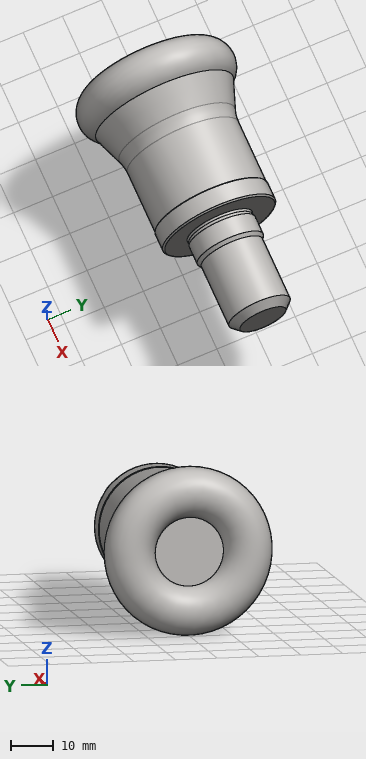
import cadquery as cq
import math

overall_length = 68.0

rim_diameter = 40.0
rim_tube_radius = 6.0
dish_floor_radius = 8.15
cone_start_x = 10.75
sleeve_start_x = 21.55
sleeve_diameter = 28.6
sleeve_end_x = 37.95
cone_angle = math.radians(20)
blend_radius = 10.2

flange_diameter = 29.0
flange_end_x = 42.9
flange_rear_chamfer = 0.4
undercut_start_radius = 8.35
undercut_radius = 8.2
undercut_bottom_x = 43.5
collar_diameter = 17.0
collar_start_x = 44.35
collar_end_x = 49.0
pin_start_x = 50.0
pin_diameter = 15.8
pin_tip_chamfer = 2.0

sleeve_radius = sleeve_diameter / 2
flange_radius = flange_diameter / 2
collar_radius = collar_diameter / 2
pin_radius = pin_diameter / 2


def turn(profile):
    """Revolve a closed half profile (X along the axis, Y outward) about the X axis."""
    return profile.close().revolve(360, (0, 0, 0), (1, 0, 0))


def make_knob():
    rim_center_radius = rim_diameter / 2 - rim_tube_radius
    floor_offset = rim_center_radius - dish_floor_radius
    dish_depth = rim_tube_radius - math.sqrt(rim_tube_radius**2 - floor_offset**2)

    blend_start_x = sleeve_start_x - blend_radius * math.sin(cone_angle)
    blend_start_radius = sleeve_radius + blend_radius * (1 - math.cos(cone_angle))
    blend_mid_x = sleeve_start_x - blend_radius * math.sin(cone_angle / 2)
    blend_mid_radius = sleeve_radius + blend_radius * (1 - math.cos(cone_angle / 2))

    cone_offset = cone_start_x - rim_tube_radius
    cone_start_radius = rim_center_radius + math.sqrt(rim_tube_radius**2 - cone_offset**2)

    profile = (
        cq.Workplane("XY")
        .moveTo(dish_depth, 0)
        .lineTo(dish_depth, dish_floor_radius)
        .threePointArc((rim_tube_radius, rim_diameter / 2), (cone_start_x, cone_start_radius))
        .lineTo(blend_start_x, blend_start_radius)
        .threePointArc((blend_mid_x, blend_mid_radius), (sleeve_start_x, sleeve_radius))
        .lineTo(sleeve_end_x, sleeve_radius)
        .lineTo(sleeve_end_x, 0)
    )
    return turn(profile)


def make_plunger():
    front_bevel = flange_radius - sleeve_radius
    profile = (
        cq.Workplane("XY")
        .moveTo(sleeve_end_x, 0)
        .lineTo(sleeve_end_x, sleeve_radius)
        .lineTo(sleeve_end_x + front_bevel, flange_radius)
        .lineTo(flange_end_x - flange_rear_chamfer, flange_radius)
        .lineTo(flange_end_x, flange_radius - flange_rear_chamfer)
        .lineTo(flange_end_x, undercut_start_radius)
        .lineTo(undercut_bottom_x, undercut_radius)
        .lineTo(collar_start_x, collar_radius)
        .lineTo(collar_end_x, collar_radius)
        .lineTo(pin_start_x, pin_radius)
        .lineTo(overall_length - pin_tip_chamfer, pin_radius)
        .lineTo(overall_length, pin_radius - pin_tip_chamfer)
        .lineTo(overall_length, 0)
    )
    return turn(profile)


knob = make_knob()
plunger = make_plunger()

result = cq.Compound.makeCompound([knob.val(), plunger.val()])